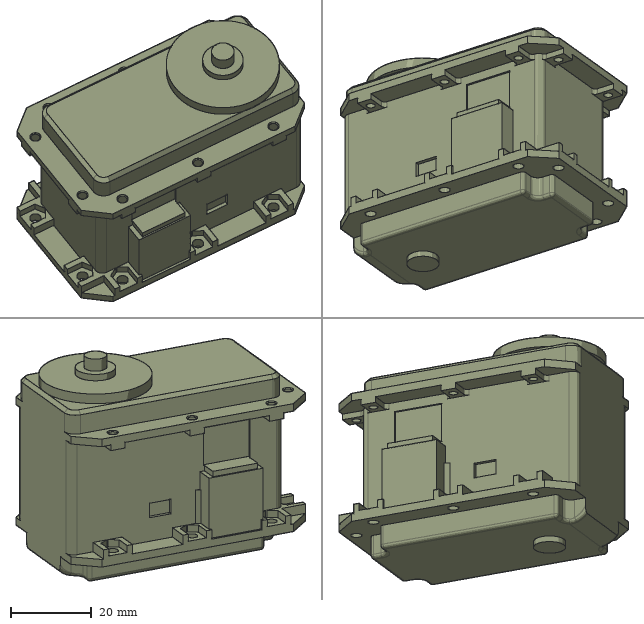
import cadquery as cq
import math


case_width = 28.9
case_length = 59.4
case_half = case_width / 2
case_back = 14.45
case_front = case_back - case_length
body_corner_radius = 2.0
cover_corner_radius = 3.0
edge_break = 1.0

lower_flange_bottom = 6.0
lower_flange_top = 8.0
nut_floor = 8.6
lower_tab_top = 10.5
upper_tab_bottom = 36.45
upper_flange_bottom = 37.95
upper_flange_top = 40.0
case_top = 45.95
disc_bottom = 46.35
disc_top = 48.9
hub_top = 50.6
shaft_top = 53.8

shaft_diameter = 5.6
hub_diameter = 10.0
disc_diameter = 28.0
boss_diameter = 7.95
boss_height = 1.5

flange_width = 40.2
flange_length = 65.1
flange_half = flange_width / 2
flange_front = case_back - flange_length
flange_corner_x = 5.15
flange_corner_y = 6.0

screw_inset = 2.85
screw_pitch = 22.0
screws_per_side = 3
first_screw_y = 4.0
side_screw_x = flange_half - screw_inset
front_screw_y = flange_front + screw_inset
upper_hole_diameter = 2.2
upper_hole_chamfer = 0.25
lower_hole_diameter = 2.75

lower_tab_width = 8.0
upper_tab_width = 4.0
upper_tab_fillet = 1.0
tab_embed = 3.25
selection_margin = 0.05
nut_flats = 5.0
nut_corners = nut_flats / math.cos(math.radians(30))

notch_size = 5.2
notch_inner_radius = 2.2
heel_radius = 6.2
heel_length = 4.7

connector_y = -29.1
connector_width = 15.0
connector_half_span = 19.45
connector_embed = 0.65
connector_top = 24.0
cap_width = 12.45
cap_half_span = 19.0
cap_top = 25.45
label_width = 12.9
label_top = 35.55
label_depth = 0.5
window_y = -10.7
window_width = 6.0
window_bottom = 14.25
window_top = 18.1
window_depth = 1.0
wedge_length = 1.25
wedge_slope = math.radians(30)
wedge_depth = wedge_length * math.tan(wedge_slope)
wedge_top = 19.35


def box(x_min, x_max, y_min, y_max, z_min, z_max):
    size = (x_max - x_min, y_max - y_min, z_max - z_min)
    return cq.Workplane("XY").box(*size, centered=False).translate((x_min, y_min, z_min))


def disc(diameter, z_min, z_max):
    return cq.Workplane("XY").workplane(offset=z_min).circle(diameter / 2).extrude(z_max - z_min)


def case_block(z_min, z_max):
    return box(-case_half, case_half, case_front, case_back, z_min, z_max)


def both_sides(solid):
    return solid.union(solid.mirror("YZ"))


screws = [(side * screw_pitch / 2, front_screw_y, -90) for side in (-1, 1)]
for row in range(screws_per_side):
    row_y = first_screw_y - row * screw_pitch
    screws.append((side_screw_x, row_y, 0))
    screws.append((-side_screw_x, row_y, 180))


def place_at_screw(solid, screw):
    x, y, angle = screw
    return solid.rotate((0, 0, 0), (0, 0, 1), angle).translate((x, y, 0))


def tab_block(width, z_min, z_max):
    """Block around a screw on the origin, from inside the case out to the flange edge at +X."""
    inner_x = case_half - tab_embed - side_screw_x
    return box(inner_x, screw_inset, -width / 2, width / 2, z_min, z_max)


def flange(z_min, z_max):
    left, right = -flange_half, flange_half
    near_left, near_right = left + flange_corner_x, right - flange_corner_x
    low, high = flange_front + flange_corner_y, case_back - flange_corner_y
    outline = [
        (near_left, flange_front), (near_right, flange_front), (right, low), (right, high),
        (near_right, case_back), (near_left, case_back), (left, high), (left, low),
    ]
    return cq.Workplane("XY").workplane(offset=z_min).polyline(outline).close().extrude(z_max - z_min)


def lower_flange():
    plate = flange(lower_flange_bottom, lower_flange_top)
    nut_height = lower_tab_top - nut_floor
    nut_plane = cq.Workplane("XY").workplane(offset=nut_floor)
    pocket = nut_plane.polygon(6, nut_corners).extrude(nut_height)
    slot = box(0, screw_inset, -nut_flats / 2, nut_flats / 2, nut_floor, lower_tab_top)
    hole = disc(lower_hole_diameter, lower_flange_bottom, lower_tab_top)
    tab = tab_block(lower_tab_width, lower_flange_bottom, lower_tab_top)
    cutter = pocket.union(slot).union(hole)
    for screw in screws:
        plate = plate.union(place_at_screw(tab, screw))
    for screw in screws:
        plate = plate.cut(place_at_screw(cutter, screw))
    return plate


def upper_flange():
    tabs = case_block(upper_tab_bottom, upper_flange_bottom).edges("|Z").fillet(body_corner_radius)
    tab = tab_block(upper_tab_width, upper_tab_bottom, upper_flange_bottom)
    for screw in screws:
        tabs = tabs.union(place_at_screw(tab, screw))
    wall_offset = side_screw_x - case_half
    for x, y, angle in screws:
        wall_x = x - wall_offset * math.cos(math.radians(angle))
        wall_y = y - wall_offset * math.sin(math.radians(angle))
        reach = upper_tab_width / 2 + selection_margin
        near_wall = cq.selectors.BoxSelector(
            (wall_x - reach, wall_y - reach, upper_tab_bottom),
            (wall_x + reach, wall_y + reach, upper_flange_bottom),
        )
        tabs = tabs.edges("|Z").edges(near_wall).fillet(upper_tab_fillet)
    plate = flange(upper_flange_bottom, upper_flange_top).union(tabs)

    hole = disc(upper_hole_diameter, upper_tab_bottom, upper_flange_top)
    hole_radius = upper_hole_diameter / 2
    cone = cq.Solid.makeCone(hole_radius, hole_radius + upper_hole_chamfer, upper_hole_chamfer)
    drill = hole.union(cq.Workplane(cone.translate((0, 0, upper_flange_top - upper_hole_chamfer))))
    for screw in screws:
        plate = plate.cut(place_at_screw(drill, screw))
    return plate


def heel_cutter():
    """Region outside the large rounding along the bottom back edge of the case."""
    start_y = case_back - heel_length
    full_angle = math.asin(heel_length / heel_radius)

    def arc_point(angle):
        return (start_y + heel_radius * math.sin(angle), heel_radius * (1 - math.cos(angle)))

    return (
        cq.Workplane("YZ").moveTo(start_y, 0)
        .threePointArc(arc_point(full_angle / 2), arc_point(full_angle))
        .lineTo(case_back, 0).close().extrude(case_half, both=True)
    )


def bottom_cover():
    cover = case_block(0, lower_flange_bottom)
    for x in (-case_half, case_half):
        for y in (case_front, case_back):
            notch = box(
                x - notch_size, x + notch_size, y - notch_size, y + notch_size, 0, lower_flange_bottom
            )
            cover = cover.cut(notch.edges("|Z").fillet(notch_inner_radius))
    for side in ("<X", ">X", "<Y"):
        cover = cover.faces(side).edges("|Z").fillet(edge_break)
    cover = cover.cut(heel_cutter())
    return cover.faces("<Z").edges("<Y").fillet(edge_break)


def body():
    return case_block(lower_flange_bottom, upper_flange_bottom).edges("|Z").fillet(body_corner_radius)


def top_cover():
    cover = case_block(upper_flange_bottom, case_top).edges("|Z").fillet(cover_corner_radius)
    return cover.faces(">Z").chamfer(edge_break)


def output_stack():
    stack = disc(hub_diameter, case_top, hub_top)
    stack = stack.union(disc(disc_diameter, disc_bottom, disc_top))
    return stack.union(disc(shaft_diameter, hub_top, shaft_top))


def connectors():
    inner_x = case_half - connector_embed
    low, high = connector_y - connector_width / 2, connector_y + connector_width / 2
    housing = box(inner_x, connector_half_span, low, high, lower_flange_top, connector_top)
    cap = box(
        inner_x, cap_half_span,
        connector_y - cap_width / 2, connector_y + cap_width / 2, connector_top, cap_top,
    )
    wedge_outline = [(case_half, high), (case_half + wedge_depth, high), (case_half, high + wedge_length)]
    wedge = (
        cq.Workplane("XY").workplane(offset=lower_flange_top)
        .polyline(wedge_outline).close().extrude(wedge_top - lower_flange_top)
    )
    return both_sides(housing.union(cap).union(wedge))


def side_recess(center_y, width, z_min, z_max, depth):
    low, high = center_y - width / 2, center_y + width / 2
    return both_sides(box(case_half - depth, case_half, low, high, z_min, z_max))


result = (
    body()
    .union(bottom_cover())
    .union(lower_flange())
    .union(upper_flange())
    .union(top_cover())
    .union(output_stack())
    .union(disc(boss_diameter, -boss_height, 0))
    .union(connectors())
    .cut(side_recess(connector_y, label_width, cap_top, label_top, label_depth))
    .cut(side_recess(window_y, window_width, window_bottom, window_top, window_depth))
)